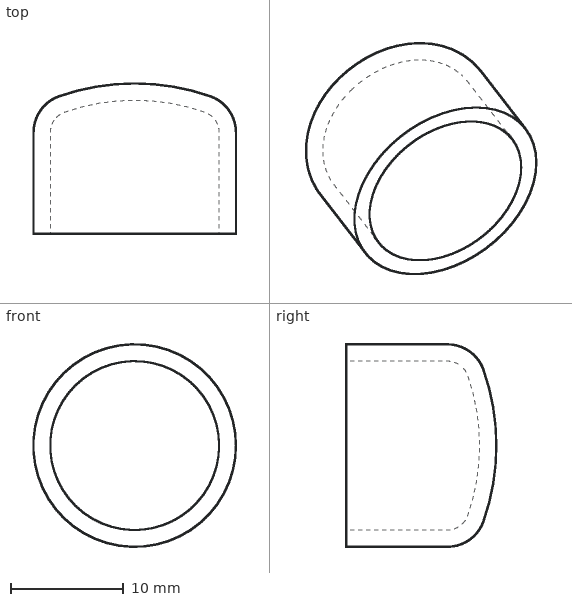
import cadquery as cq
import math

outer_diameter = 18.0
inner_diameter = 15.0
total_length = 13.35
skirt_length = 9.0
crown_radius = 20.34

outer_radius = outer_diameter / 2
wall = (outer_diameter - inner_diameter) / 2
open_end = -total_length / 2
knuckle_start = open_end + skirt_length
crown_centre = total_length / 2 - crown_radius

centre_gap = knuckle_start - crown_centre
knuckle_radius = (crown_radius**2 - outer_radius**2 - centre_gap**2) / (2 * (crown_radius - outer_radius))
knuckle_centre = outer_radius - knuckle_radius
tangent_angle = math.atan2(knuckle_centre, centre_gap)
mid_knuckle_angle = (tangent_angle + math.pi / 2) / 2


def knuckle_point(radius, angle):
    """Point on the knuckle arc of the given radius, at an angle from the Y axis."""
    return (
        knuckle_centre + radius * math.sin(angle),
        knuckle_start + radius * math.cos(angle),
    )


def crown_point(radius, angle):
    """Point on the crown arc of the given radius, at an angle from the Y axis."""
    return (radius * math.sin(angle), crown_centre + radius * math.cos(angle))


def dished_solid(offset):
    """Solid of revolution inside the outer surface, shrunk inward by the offset."""
    skirt = outer_radius - offset
    knuckle = knuckle_radius - offset
    crown = crown_radius - offset
    return (
        cq.Workplane("XY")
        .moveTo(0, open_end)
        .lineTo(skirt, open_end)
        .lineTo(skirt, knuckle_start)
        .threePointArc(knuckle_point(knuckle, mid_knuckle_angle), knuckle_point(knuckle, tangent_angle))
        .threePointArc(crown_point(crown, tangent_angle / 2), crown_point(crown, 0))
        .close()
        .revolve(360, (0, 0, 0), (0, 1, 0))
    )


result = dished_solid(0).cut(dished_solid(wall))